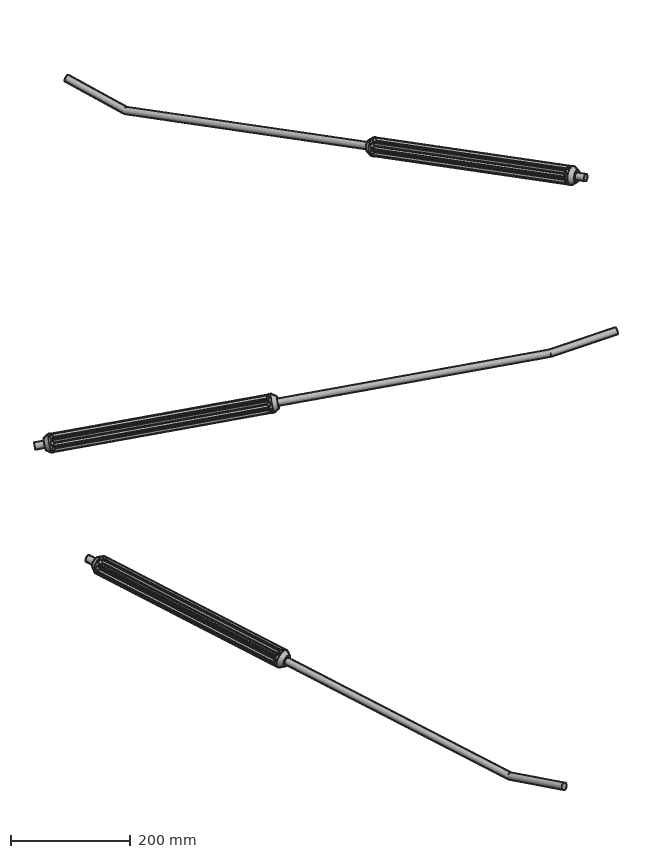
import cadquery as cq
import math

overall_length = 995.0
overall_height = 64.0
tube_diameter = 13.0
bend_angle = 20.0

grip_diameter = 33.0
grip_start = 580.0
grip_end = 978.0
grip_chamfer_length = 9.0
grip_chamfer_depth = 6.0
groove_count = 8
groove_depth = 3.0
groove_floor_width = 1.5
groove_wall_slope = 28.0
groove_end_gap = 3.0

tube_radius = tube_diameter / 2
grip_radius = grip_diameter / 2
groove_start = grip_start + grip_chamfer_length + groove_end_gap
groove_end = grip_end - grip_chamfer_length - groove_end_gap

bend_sin = math.sin(math.radians(bend_angle))
bend_cos = math.cos(math.radians(bend_angle))
tip_top_height = overall_height - grip_radius
tip_center_height = tip_top_height - tube_radius * bend_cos
tip_center_x = tube_radius * bend_sin
bend_x = tip_center_x + tip_center_height * bend_cos / bend_sin


def make_tube():
    """Straight shaft and angled arm joined at a mitre."""
    center_line = cq.Workplane("XZ").polyline(
        [(overall_length, 0), (bend_x, 0), (tip_center_x, tip_center_height)]
    )
    return (
        cq.Workplane("YZ", origin=(overall_length, 0, 0))
        .circle(tube_radius)
        .sweep(center_line, transition="right")
    )


def make_groove_cutter():
    """Bar with four sloping sides that cuts one groove, half a pitch round from the top."""
    wall_run = groove_depth / math.tan(math.radians(groove_wall_slope))
    mouth_width = groove_floor_width + 2 * wall_run
    cutter = (
        cq.Workplane("XY", origin=((groove_start + groove_end) / 2, 0, grip_radius))
        .rect(groove_end - groove_start, mouth_width)
        .extrude(-groove_depth, taper=90 - groove_wall_slope)
    )
    return cutter.rotate((0, 0, 0), (1, 0, 0), 180 / groove_count)


def make_grip():
    """Sleeve with chamfered ends, a bore for the tube and grooves all around."""
    face_radius = grip_radius - grip_chamfer_depth
    half_section = [
        (grip_start, tube_radius),
        (grip_start, face_radius),
        (grip_start + grip_chamfer_length, grip_radius),
        (grip_end - grip_chamfer_length, grip_radius),
        (grip_end, face_radius),
        (grip_end, tube_radius),
    ]
    grip = cq.Workplane("XZ").polyline(half_section).close().revolve(360, (0, 0), (1, 0))
    groove = make_groove_cutter()
    for index in range(groove_count):
        grip = grip.cut(groove.rotate((0, 0, 0), (1, 0, 0), index * 360 / groove_count))
    return grip


tube = make_tube()
grip = make_grip()

result = cq.Compound.makeCompound([tube.val(), grip.val()])